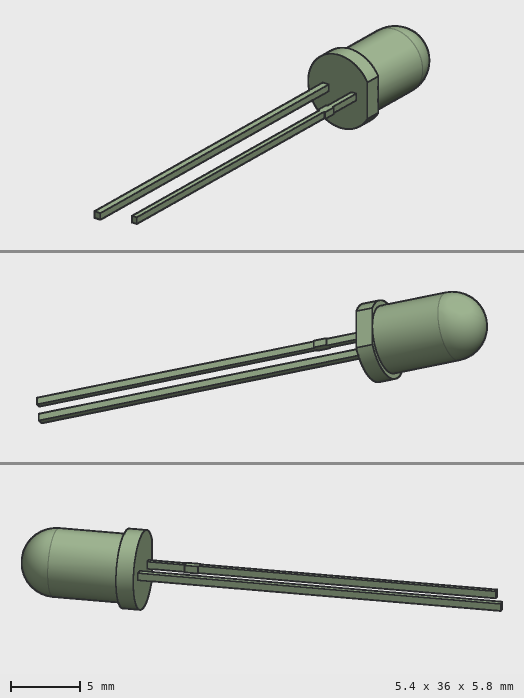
import cadquery as cq

total_length = 36.05
lens_height = 9.0
flange_diameter = 5.8
flange_width = 5.4
flange_height = 1.3
flange_radius = flange_diameter / 2
lens_radius = flange_width - flange_radius

lead_pitch = 2.55
lead_thickness = 0.55
long_lead_width = 0.55
short_lead_width = 0.45
long_lead_length = total_length - lens_height
short_lead_length = long_lead_length - 1.05

stop_width = 0.65
stop_length = 1.0
stop_distance = 2.8


def make_lens():
    """Cylinder with a hemispherical end, revolved about the Y axis."""
    dome_start = lens_height - lens_radius
    dome_middle = lens_radius * 0.5 ** 0.5
    return (
        cq.Workplane("XY")
        .lineTo(lens_radius, 0)
        .lineTo(lens_radius, dome_start)
        .threePointArc((dome_middle, dome_start + dome_middle), (0, lens_height))
        .close()
        .revolve(360, (0, 0, 0), (0, 1, 0))
    )


def make_flange():
    """Round flange with a flat on the +X side."""
    disc = cq.Workplane("XZ").circle(flange_radius).extrude(-flange_height)
    keep = cq.Workplane("XY").box(flange_width, 2 * flange_height, flange_diameter)
    return disc.intersect(keep.translate((flange_width / 2 - flange_radius, 0, 0)))


def make_bar(x, width, start, length):
    """Rectangular bar centred on x, running toward -Y from the given distance below the base."""
    return (
        cq.Workplane("XZ", origin=(x, -start, 0))
        .rect(width, lead_thickness)
        .extrude(length)
    )


long_lead = make_bar(-lead_pitch / 2, long_lead_width, 0, long_lead_length)
short_lead = make_bar(lead_pitch / 2, short_lead_width, 0, short_lead_length)
stop = make_bar(lead_pitch / 2, stop_width, stop_distance, stop_length)

result = make_lens().union(make_flange()).union(long_lead).union(short_lead).union(stop)